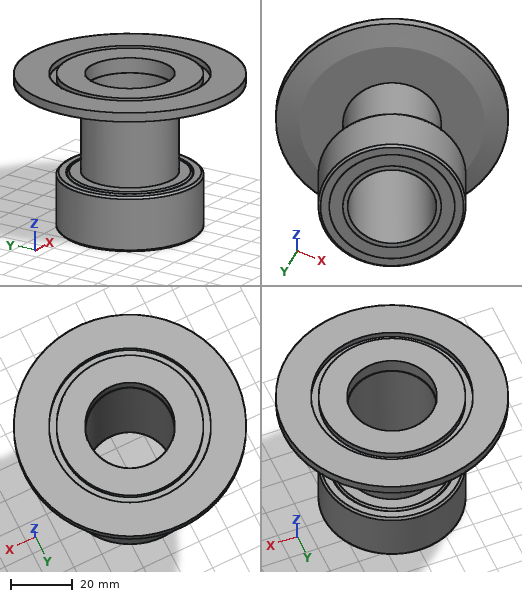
import cadquery as cq

total_height = 52.8

flange_diameter = 75.0
flange_thickness = 5.1
rim_thickness = 3.1
underside_diameter = 59.7
flange_bore = 28.95
groove_outer_diameter = 52.2
groove_inner_diameter = 47.4
groove_depth = 2.1

tube_diameter = 31.7
tube_bore = 28.6

nut_diameter = 47.6
nut_height = 18.9
nut_chamfer = 0.75
nut_bore = 40.5
nut_mouth_diameter = 41.25
nut_mouth_angle = 90.0

collar_diameter = nut_bore
collar_top_diameter = 39.15
collar_height = 19.2

flange_bottom = total_height - flange_thickness
collar_chamfer = (collar_diameter - collar_top_diameter) / 2


def ring(outer_diameter, inner_diameter, height, bottom=0.0):
    """Plain upright ring centred on the Z axis."""
    return (
        cq.Workplane("XY", origin=(0, 0, bottom))
        .circle(outer_diameter / 2)
        .circle(inner_diameter / 2)
        .extrude(height)
    )


def make_flange():
    """Disc with a conical underside edge and an annular groove in its top face."""
    outer_radius = flange_diameter / 2
    bore_radius = flange_bore / 2
    profile = [
        (bore_radius, flange_bottom),
        (underside_diameter / 2, flange_bottom),
        (outer_radius, total_height - rim_thickness),
        (outer_radius, total_height),
        (bore_radius, total_height),
    ]
    disc = cq.Workplane("XZ").polyline(profile).close().revolve(360, (0, 0, 0), (0, 1, 0))
    groove = ring(groove_outer_diameter, groove_inner_diameter, groove_depth, total_height - groove_depth)
    return disc.cut(groove)


def make_tube():
    """Tube that runs from the base up to the underside of the flange."""
    return ring(tube_diameter, tube_bore, flange_bottom)


def make_nut():
    """Outer ring with chamfered outside edges and a chamfered mouth at the top of its bore."""
    body = cq.Workplane("XY").circle(nut_diameter / 2).extrude(nut_height)
    body = body.faces("<Z or >Z").edges().chamfer(nut_chamfer)
    return body.faces(">Z").workplane().cskHole(nut_bore, nut_mouth_diameter, nut_mouth_angle)


def make_collar():
    """Ring around the tube, standing slightly above the nut, with a chamfered top edge."""
    body = cq.Workplane("XY").circle(collar_diameter / 2).extrude(collar_height)
    body = body.faces(">Z").edges().chamfer(collar_chamfer)
    return body.faces(">Z").workplane().hole(tube_diameter)


flange = make_flange()
tube = make_tube()
nut = make_nut()
collar = make_collar()

result = cq.Compound.makeCompound([flange.val(), tube.val(), nut.val(), collar.val()])